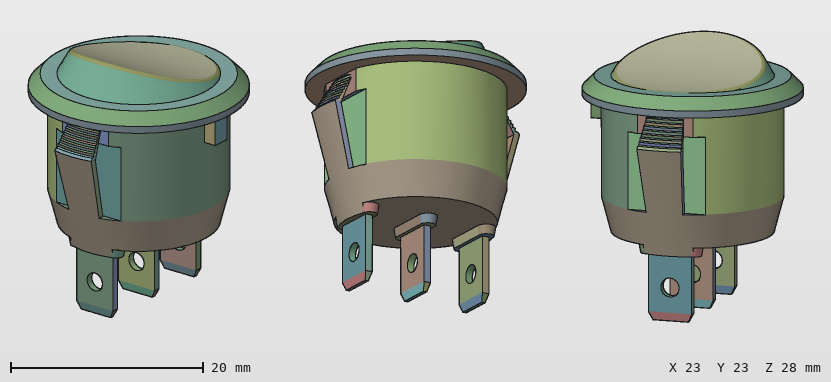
import cadquery as cq
import math


EMBED = 0.5

FLANGE_RADIUS = 11.5
FLANGE_HEIGHT = 2.0
FLANGE_CHAMFER = 1.25

BODY_RADIUS = 9.5
SHOULDER_Z = -10.75
BASE_Z = -14.5
BASE_RADIUS = 8.5
FLAT_Y = 8.5
PAD_Y = 9.0
PAD_HEIGHT = 2.5
TAPER = (BODY_RADIUS - BASE_RADIUS) / (SHOULDER_Z - BASE_Z)

KEY_REACH = 10.8
KEY_WIDTH = 2.0
KEY_HEIGHT = 3.05

TERMINAL_PITCH = 7.05
TERMINAL_WIDTH = 4.75
TERMINAL_THICKNESS = 0.8
TERMINAL_TIP_Z = -22.6
TIP_LENGTH = 0.9
TIP_WIDTH = 3.85
TIP_THICKNESS = 0.4
HOLE_DIAMETER = 2.0
HOLE_Z = -19.0
BOSS_HEIGHT = 1.0
BOSS_LENGTH = 6.95
BOSS_WIDTH = 2.0
BOSS_DRAFT_ANGLE = 10.0
SKIRT_WIDTH = 5.45

KNEE_Z = -3.67
KNEE_INNER_Y = 10.43
KNEE_INNER_Z = -3.76
ROOT_INNER_Y = 8.66
TIP_INNER_Y = 8.8
TIP_INNER_Z = -0.33
CLIP_TOP_Z = -0.18
CLIP_TOP_RADIUS = 9.08
CLIP_ROOT_WIDTH = 4.0
CLIP_KNEE_WIDTH = 4.8
CLIP_TIP_WIDTH = 3.9
TOOTH_COUNT = 8
TOOTH_RISE = 0.38
TOOTH_STEP = 0.243
TOOTH_UNDERCUT = 0.04
TREAD_DROP = 0.08
FIRST_TOOTH_RADIUS = 11.15
FIRST_TOOTH_Z = -3.40

ROCKER_RADIUS = 8.5
ROCKER_SIDE_ANGLE = 30.0
ROCKER_SINK = 0.8
ROCKER_TOP_Z = 7.0
ROCKER_EDGE_FILLET = 0.5
FACE_RADIUS = 38.6
FACE_AXIS_Y = 9.5
FACE_AXIS_Z = 40.63


def taper_radius(z):
    """Radius at height z of the cone shared by the base and the lower clip arms."""
    return BODY_RADIUS + TAPER * (z - SHOULDER_Z)


def revolve_profile(points):
    """Solid of revolution about Z from (radius, z) points."""
    return cq.Workplane("XZ").polyline(points).close().revolve(360, (0, 0), (0, 1))


def centred_box(x_size, y_size, z_low, z_high):
    box = cq.Workplane("XY").box(x_size, y_size, z_high - z_low, centered=(True, True, False))
    return box.translate((0, 0, z_low))


def make_flange():
    disc = cq.Workplane("XY").circle(FLANGE_RADIUS).extrude(FLANGE_HEIGHT)
    return disc.faces(">Z").chamfer(FLANGE_CHAMFER)


def make_barrel():
    barrel = cq.Workplane("XY").circle(BODY_RADIUS).extrude(SHOULDER_Z)
    width = 2 * BODY_RADIUS
    flats = centred_box(width, 2 * FLAT_Y, SHOULDER_Z, 0)
    pads = centred_box(width, 2 * PAD_Y, -PAD_HEIGHT, 0)
    return barrel.intersect(flats.union(pads))


def make_key():
    inner_x = BODY_RADIUS - EMBED
    key = centred_box(KEY_REACH - inner_x, KEY_WIDTH, -KEY_HEIGHT, 0)
    return key.translate(((KEY_REACH + inner_x) / 2, 0, 0))


def make_boss(y):
    return (
        cq.Workplane("XY")
        .workplane(offset=BASE_Z)
        .center(0, y)
        .slot2D(BOSS_LENGTH, BOSS_WIDTH)
        .extrude(-BOSS_HEIGHT, taper=BOSS_DRAFT_ANGLE)
    )


def make_terminal(y):
    tip_start_z = TERMINAL_TIP_Z + TIP_LENGTH
    blade = centred_box(TERMINAL_WIDTH, TERMINAL_THICKNESS, tip_start_z, BASE_Z)
    tip = (
        cq.Workplane("XY")
        .workplane(offset=tip_start_z)
        .rect(TERMINAL_WIDTH, TERMINAL_THICKNESS)
        .workplane(offset=-TIP_LENGTH)
        .rect(TIP_WIDTH, TIP_THICKNESS)
        .loft()
    )
    hole = (
        cq.Workplane("XZ")
        .center(0, HOLE_Z)
        .circle(HOLE_DIAMETER / 2)
        .extrude(TERMINAL_THICKNESS, both=True)
    )
    return blade.union(tip).cut(hole).translate((0, y, 0))


def shell_profile():
    """(radius, z) outline of the cone from the boss ends to the clip knee, then the sawtooth grip."""
    bottom_z = BASE_Z - BOSS_HEIGHT
    points = [(0, bottom_z), (taper_radius(bottom_z), bottom_z), (taper_radius(KNEE_Z), KNEE_Z)]
    for tooth in range(TOOTH_COUNT):
        radius = FIRST_TOOTH_RADIUS - TOOTH_STEP * tooth
        z = FIRST_TOOTH_Z + TOOTH_RISE * tooth
        points.append((radius, z))
        points.append((radius - TOOTH_STEP - TOOTH_UNDERCUT, z + TREAD_DROP))
    last_radius = FIRST_TOOTH_RADIUS - TOOTH_STEP * TOOTH_COUNT
    last_z = FIRST_TOOTH_Z + TOOTH_RISE * TOOTH_COUNT
    points += [(last_radius, last_z), (CLIP_TOP_RADIUS, CLIP_TOP_Z), (0, CLIP_TOP_Z)]
    return points


def make_clip_prism():
    """Outline of the -Y clip: flat inner face and tapered sides, open outwards."""
    root_z = SHOULDER_Z - EMBED
    side = (
        cq.Workplane("YZ")
        .polyline([
            (-ROOT_INNER_Y, root_z),
            (-ROOT_INNER_Y, SHOULDER_Z),
            (-KNEE_INNER_Y, KNEE_INNER_Z),
            (-TIP_INNER_Y, TIP_INNER_Z),
            (-TIP_INNER_Y, CLIP_TOP_Z + EMBED),
            (-FLANGE_RADIUS, CLIP_TOP_Z + EMBED),
            (-FLANGE_RADIUS, root_z),
        ])
        .close()
        .extrude(CLIP_KNEE_WIDTH, both=True)
    )
    front = (
        cq.Workplane("XZ")
        .polyline([
            (-CLIP_ROOT_WIDTH / 2, root_z),
            (-CLIP_ROOT_WIDTH / 2, SHOULDER_Z),
            (-CLIP_KNEE_WIDTH / 2, KNEE_Z),
            (-CLIP_TIP_WIDTH / 2, CLIP_TOP_Z),
            (CLIP_TIP_WIDTH / 2, CLIP_TOP_Z),
            (CLIP_KNEE_WIDTH / 2, KNEE_Z),
            (CLIP_ROOT_WIDTH / 2, SHOULDER_Z),
            (CLIP_ROOT_WIDTH / 2, root_z),
        ])
        .close()
        .extrude(FLANGE_RADIUS)
    )
    return side.intersect(front)


def make_skirt_prism():
    """Outline of the -Y skirt, which carries the cone down the outside of the outer boss."""
    depth = FLANGE_RADIUS - TERMINAL_PITCH
    prism = centred_box(SKIRT_WIDTH, depth, BASE_Z - BOSS_HEIGHT, BASE_Z + EMBED)
    return prism.translate((0, -TERMINAL_PITCH - depth / 2, 0))


def make_base_with_clips():
    """Base, skirts and clips share one revolved outer surface, so they are cut from it together."""
    diameter = 2 * FLANGE_RADIUS
    region = centred_box(diameter, diameter, BASE_Z, SHOULDER_Z)
    for prism in (make_clip_prism(), make_skirt_prism()):
        region = region.union(prism).union(prism.mirror("XZ"))
    return revolve_profile(shell_profile()).intersect(region)


def make_rocker():
    slope = math.tan(math.radians(ROCKER_SIDE_ANGLE))
    bottom_z = FLANGE_HEIGHT - ROCKER_SINK
    bottom_radius = ROCKER_RADIUS + slope * ROCKER_SINK
    top_radius = ROCKER_RADIUS - slope * (ROCKER_TOP_Z - FLANGE_HEIGHT)
    cone = revolve_profile([
        (0, bottom_z),
        (bottom_radius, bottom_z),
        (top_radius, ROCKER_TOP_Z),
        (0, ROCKER_TOP_Z),
    ])
    hollow = (
        cq.Workplane("YZ")
        .center(FACE_AXIS_Y, FACE_AXIS_Z)
        .circle(FACE_RADIUS)
        .extrude(FLANGE_RADIUS, both=True)
    )
    rim = "not(%LINE or %CIRCLE)"
    return cone.cut(hollow).edges(rim).fillet(ROCKER_EDGE_FILLET)


result = (
    make_base_with_clips()
    .union(make_barrel())
    .union(make_flange())
    .union(make_key())
    .union(make_rocker())
)

for terminal_y in (-TERMINAL_PITCH, 0, TERMINAL_PITCH):
    result = result.union(make_boss(terminal_y)).union(make_terminal(terminal_y))